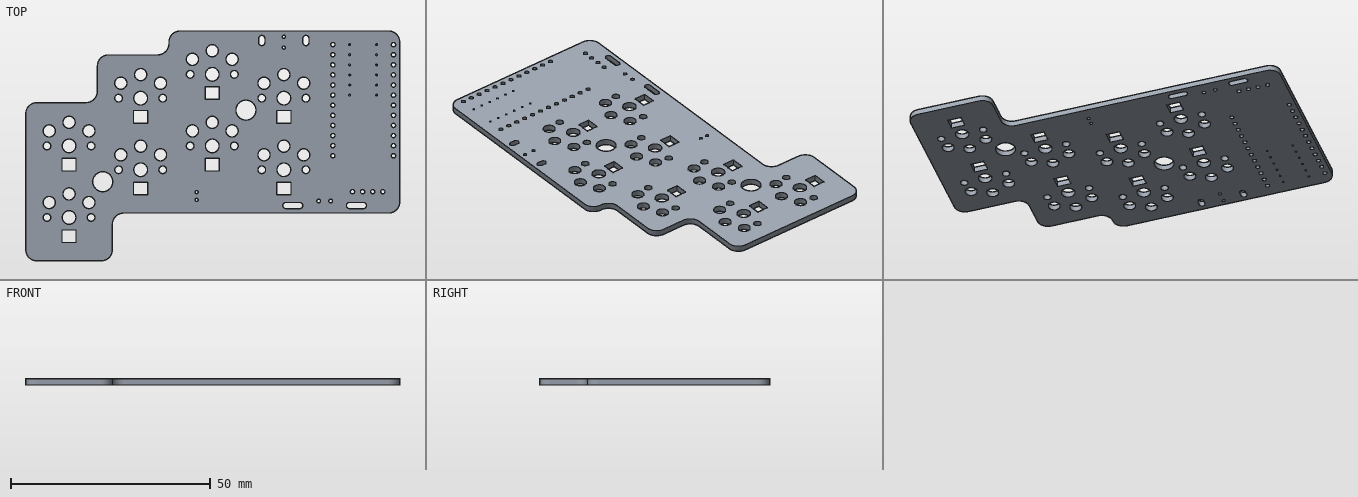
import cadquery as cq

length = 94.0
thickness = 1.6
corner_radius = 2.8

key_margin = 10.9
key_columns_span = 54.0
key_pitch = key_columns_span / 3
stagger = key_pitch / 3
column_lifts = [0, 2 * stagger, 3 * stagger, 2 * stagger]
rows_per_column = 2

stem_diameter = 3.4
contact_diameter = 3.0
contact_points = [(-5.0, 3.8), (0, 5.9), (5.0, 3.8)]
peg_diameter = 1.9
peg_offset = 5.5
window_width = 3.5
window_height = 3.1
window_drop = 4.7

mount_diameter = 5.0
mount_offset_x = 8.5

pin_pitch = 2.5
controller_x = 84.8
controller_top_y = 54.3
header_diameter = 1.0
header_spacing = 15.2
header_count = 12
via_diameter = 0.4
via_spacing = 6.8
via_count = 6

connector_diameter = 1.0
connector_count = 4
connector_x = 85.9
connector_y = 17.4

lower_pin_diameter = 0.9
lower_pin_points = [(73.6, 15.0), (76.6, 15.0)]
long_slot_length = 5.0
long_slot_width = 1.5
long_slot_points = [(67.1, 13.9), (83.1, 13.9)]

short_slot_length = 2.5
short_slot_width = 1.5
short_slot_y = 55.4

small_diameter = 0.75
lower_pair_points = [(43.0, 15.3), (43.0, 17.3)]
upper_pair_heights = [53.6, 56.3]


def column_x(column):
    return key_margin + column * key_pitch


def key_y(column, row):
    return key_margin + column_lifts[column] + row * key_pitch


def column_top(column):
    return key_y(column, rows_per_column - 1) + key_margin


def column_left(column):
    return column_x(column) - key_margin


def plate():
    """Stepped outline following the first three columns, with a tongue below the first one."""
    tongue_width = 2 * key_margin
    lower_edge = column_lifts[1]
    outline = [
        (0, 0),
        (tongue_width, 0),
        (tongue_width, lower_edge),
        (length, lower_edge),
        (length, column_top(2)),
        (column_left(2), column_top(2)),
        (column_left(2), column_top(1)),
        (column_left(1), column_top(1)),
        (column_left(1), column_top(0)),
        (0, column_top(0)),
    ]
    body = cq.Workplane("XY").polyline(outline).close().extrude(thickness)
    return body.edges("|Z").fillet(corner_radius)


def round_cutters(points, diameter):
    return cq.Workplane("XY").pushPoints(points).circle(diameter / 2).extrude(thickness)


def slot_cutters(points, slot_length, slot_width, angle=0):
    slots = cq.Workplane("XY").pushPoints(points).slot2D(slot_length, slot_width, angle)
    return slots.extrude(thickness)


def key_cutters(centres):
    """Stem, contact and peg holes and the rectangular window of every key."""
    contacts = [(x + dx, y + dy) for x, y in centres for dx, dy in contact_points]
    pegs = [(x + side * peg_offset, y) for x, y in centres for side in (-1, 1)]
    windows = [(x, y - window_drop) for x, y in centres]
    return [
        round_cutters(centres, stem_diameter),
        round_cutters(contacts, contact_diameter),
        round_cutters(pegs, peg_diameter),
        cq.Workplane("XY").pushPoints(windows).rect(window_width, window_height).extrude(thickness),
    ]


def controller_cutters(spacing, count, diameter):
    """Two upright rows of holes, both starting at the top of the controller."""
    points = [
        (controller_x + side * spacing / 2, controller_top_y - index * pin_pitch)
        for side in (-1, 1)
        for index in range(count)
    ]
    return round_cutters(points, diameter)


columns = range(len(column_lifts))
key_centres = [(column_x(c), key_y(c, r)) for c in columns for r in range(rows_per_column)]
mount_points = [(column_x(c) + mount_offset_x, key_y(c, 0) + key_pitch / 2) for c in (0, 2)]

connector_start = connector_x - (connector_count - 1) * pin_pitch / 2
connector_points = [(connector_start + i * pin_pitch, connector_y) for i in range(connector_count)]

socket_x = column_x(3)
short_slot_points = [(socket_x + side * peg_offset, short_slot_y) for side in (-1, 1)]
upper_pair_points = [(socket_x, y) for y in upper_pair_heights]

cutters = key_cutters(key_centres) + [
    round_cutters(mount_points, mount_diameter),
    controller_cutters(header_spacing, header_count, header_diameter),
    controller_cutters(via_spacing, via_count, via_diameter),
    round_cutters(connector_points, connector_diameter),
    round_cutters(lower_pin_points, lower_pin_diameter),
    round_cutters(lower_pair_points + upper_pair_points, small_diameter),
    slot_cutters(long_slot_points, long_slot_length, long_slot_width),
    slot_cutters(short_slot_points, short_slot_length, short_slot_width, 90),
]

result = plate()
for cutter in cutters:
    result = result.cut(cutter)